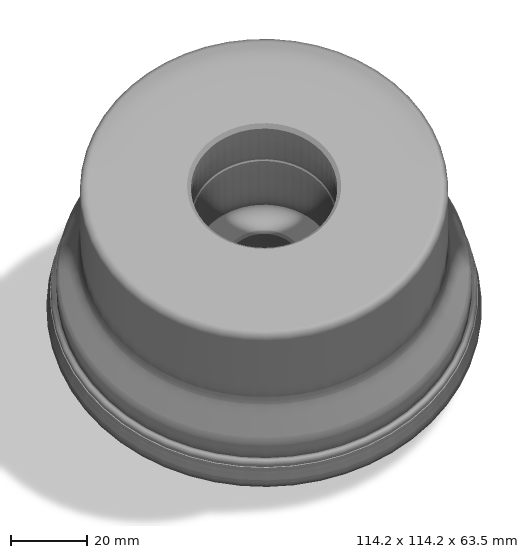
import cadquery as cq
import math

total_height = 63.5
seam_height = 17.0
through_hole_radius = 9.9

ring_max_radius = 57.1
ring_bottom_radius = 50.7
bottom_cone_height = 7.3
bottom_cone_radius = 56.8
rim_bottom = 8.3
rim_top = 9.0
step_height = 15.0
step_width = 0.2
shoulder_height = 15.9
shoulder_radius = 55.9
ring_top_radius = 54.9
wall_bands = [(57.0, 10.4), (56.6, 11.8), (56.3, 13.5)]

skirt_radius = 54.5
neck_radius = 48.3
cone_bottom = 24.0
cone_angle = 30.0
cone_blend_radius = 5.0
top_fillet = 2.0

bore_radius = 19.2
bore_mouth_chamfer = 1.0
bore_step_depth = 14.8
bore_step_width = 0.3
bore_floor = 28.5
hole_chamfer = 0.7


def revolve_about_z(profile):
    """Turn a closed radius/height profile in the XZ plane into a solid."""
    return profile.close().revolve(360, (0, 0, 0), (0, 1, 0))


def make_base_ring():
    profile = (
        cq.Workplane("XZ")
        .moveTo(through_hole_radius, 0)
        .lineTo(ring_bottom_radius, 0)
        .lineTo(bottom_cone_radius, bottom_cone_height)
        .lineTo(ring_max_radius, rim_bottom)
        .lineTo(ring_max_radius, rim_top)
    )
    for radius, height in wall_bands:
        profile = profile.lineTo(radius, height)
    profile = (
        profile.lineTo(shoulder_radius + step_width, step_height)
        .lineTo(shoulder_radius, step_height)
        .lineTo(shoulder_radius, shoulder_height)
        .tangentArcPoint((ring_top_radius, seam_height), relative=False)
        .lineTo(through_hole_radius, seam_height)
    )
    return revolve_about_z(profile)


def make_cap_body():
    cone_top = cone_bottom + (skirt_radius - neck_radius) / math.tan(math.radians(cone_angle))
    profile = (
        cq.Workplane("XZ")
        .moveTo(0, seam_height)
        .lineTo(skirt_radius, seam_height)
        .lineTo(skirt_radius, cone_bottom)
        .lineTo(neck_radius, cone_top)
        .lineTo(neck_radius, total_height)
        .lineTo(0, total_height)
    )
    body = revolve_about_z(profile)
    for height in (cone_bottom, cone_top):
        corner = cq.selectors.NearestToPointSelector((0, 0, height))
        body = body.edges("%CIRCLE").edges(corner).fillet(cone_blend_radius)
    return body.faces(">Z").edges().fillet(top_fillet)


def make_cap_bore():
    mouth_radius = bore_radius + bore_mouth_chamfer
    lower_radius = bore_radius - bore_step_width
    step_z = total_height - bore_step_depth
    profile = (
        cq.Workplane("XZ")
        .moveTo(0, seam_height)
        .lineTo(through_hole_radius, seam_height)
        .lineTo(through_hole_radius, bore_floor - hole_chamfer)
        .lineTo(through_hole_radius + hole_chamfer, bore_floor)
        .lineTo(lower_radius, bore_floor)
        .lineTo(lower_radius, step_z - bore_step_width)
        .lineTo(bore_radius, step_z)
        .lineTo(bore_radius, total_height - bore_mouth_chamfer)
        .lineTo(mouth_radius, total_height)
        .lineTo(0, total_height)
    )
    return revolve_about_z(profile)


base_ring = make_base_ring()
cap = make_cap_body().cut(make_cap_bore())

result = cq.Compound.makeCompound([base_ring.val(), cap.val()])